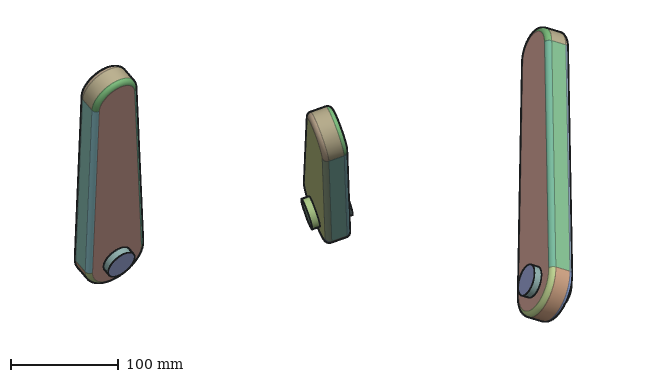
import cadquery as cq
import math

total_length = 307.5
large_end_radius = 32.5
small_end_radius = 25.0
arm_thickness = 25.0
edge_fillet = 5.0
pin_diameter = 30.0
pin_length = 40.0

small_end_height = total_length - large_end_radius - small_end_radius


def make_arm():
    """Tapered arm whose straight sides are tangent to both round ends."""
    tangent_angle = math.asin((large_end_radius - small_end_radius) / small_end_height)
    side = math.cos(tangent_angle)
    rise = math.sin(tangent_angle)
    large_y = large_end_radius * side
    large_z = large_end_radius * rise
    small_y = small_end_radius * side
    small_z = small_end_height + small_end_radius * rise
    return (
        cq.Workplane("YZ")
        .moveTo(-large_y, large_z)
        .threePointArc((0, -large_end_radius), (large_y, large_z))
        .lineTo(small_y, small_z)
        .threePointArc((0, total_length - large_end_radius), (-small_y, small_z))
        .close()
        .extrude(arm_thickness / 2, both=True)
        .faces("<X or >X")
        .edges()
        .fillet(edge_fillet)
    )


def make_pin():
    """Round pin through the large end, standing out equally on both faces."""
    return cq.Workplane("YZ").circle(pin_diameter / 2).extrude(pin_length / 2, both=True)


result = make_arm().union(make_pin())